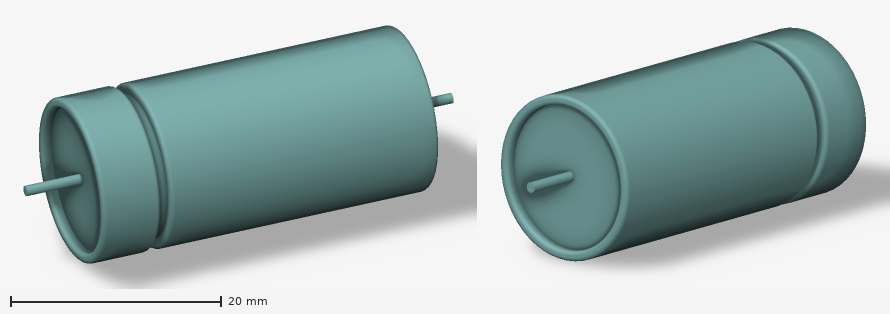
import cadquery as cq

total_length = 44.0
lead_length = 4.65
lead_diameter = 1.0
can_diameter = 16.2
core_diameter = 14.2
base_length = 5.95
groove_width = 1.05
edge_radius = 0.4
recess_depth = 1.0

can_length = total_length - 2 * lead_length
can_front = -can_length / 2
shell_length = can_length - base_length - groove_width
shell_front = can_front + base_length + groove_width


def cylinder(diameter, start_y, length):
    """Cylinder along +Y starting at start_y."""
    plane = cq.Plane(origin=(0, start_y, 0), xDir=(1, 0, 0), normal=(0, 1, 0))
    return cq.Workplane(plane).circle(diameter / 2).extrude(length)


def rounded_section(start_y, length):
    """Full-diameter can section with both rims rounded."""
    return cylinder(can_diameter, start_y, length).edges().fillet(edge_radius)


can = (
    rounded_section(can_front, base_length)
    .union(rounded_section(shell_front, shell_length))
    .union(cylinder(core_diameter, can_front, can_length))
)

for recess_start in (can_front, -can_front - recess_depth):
    can = can.cut(cylinder(core_diameter, recess_start, recess_depth))

for end_face in ("<Y", ">Y"):
    inner_rim = can.faces(end_face).edges(cq.selectors.RadiusNthSelector(0))
    can = inner_rim.fillet(edge_radius)

result = can.union(cylinder(lead_diameter, -total_length / 2, total_length))